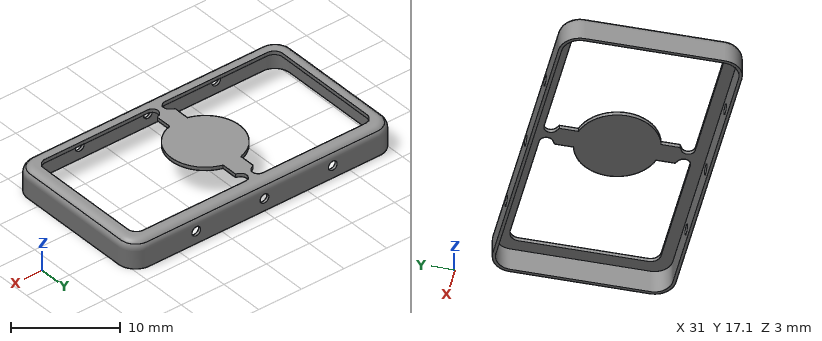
import cadquery as cq
import math

length = 31.0
width = 17.1
height = 3.0
outer_corner_radius = 2.0
top_edge_radius = 1.0

wall = 0.3
lip_width = 1.5
lip_thickness = 0.4
lip_corner_radius = 1.0
cavity_corner_radius = outer_corner_radius - wall

hole_diameter = 1.0
hole_pitch = 8.0
hole_height = 1.4

disc_diameter = 8.0
tab_width = 2.1
neck_width = 0.7
notch_radius = 0.65
taper_angle = 30.0

opening_length = length - 2 * lip_width
opening_width = width - 2 * lip_width
lip_bottom = height - lip_thickness


def rounded_block(size_x, size_y, size_z, corner_radius):
    """Block standing on Z = 0, centred in X and Y, with rounded vertical edges."""
    block = cq.Workplane("XY").box(size_x, size_y, size_z, centered=(True, True, False))
    return block.edges("|Z").fillet(corner_radius)


def make_frame():
    """Thin-walled ring with a rounded top outer edge and an inward lip at the top."""
    body = rounded_block(length, width, height, outer_corner_radius)
    body = body.faces(">Z").edges().fillet(top_edge_radius)
    cavity = rounded_block(length - 2 * wall, width - 2 * wall, lip_bottom, cavity_corner_radius)
    opening = rounded_block(opening_length, opening_width, height, lip_corner_radius)
    return body.cut(cavity).cut(opening)


def make_cross_holes():
    """Row of round holes along Y, passing through both long walls."""
    positions = [(i * hole_pitch, hole_height) for i in (-1, 0, 1)]
    holes = cq.Workplane("XZ").pushPoints(positions).circle(hole_diameter / 2)
    return holes.extrude(width, both=True)


def make_notched_tab():
    """Tab on the +Y side of the disc, narrowed to a neck where it meets the lip.

    Each side runs straight from the disc, tapers inward, and ends in a round
    notch that is tangent to both the taper and the inner edge of the lip.
    """
    lip_y = opening_width / 2
    notch_x = neck_width / 2 + notch_radius
    notch_y = lip_y - notch_radius
    taper = math.radians(taper_angle)
    tangent_x = notch_x - notch_radius * math.sin(taper)
    tangent_y = notch_y - notch_radius * math.cos(taper)
    shoulder_x = tab_width / 2
    shoulder_y = tangent_y - (shoulder_x - tangent_x) * math.tan(taper)
    neck_x = neck_width / 2

    outline = (
        cq.Workplane("XY", origin=(0, 0, lip_bottom))
        .moveTo(-shoulder_x, 0)
        .lineTo(shoulder_x, 0)
        .lineTo(shoulder_x, shoulder_y)
        .lineTo(tangent_x, tangent_y)
        .threePointArc((neck_x, notch_y), (notch_x, lip_y))
        .lineTo(-notch_x, lip_y)
        .threePointArc((-neck_x, notch_y), (-tangent_x, tangent_y))
        .lineTo(-shoulder_x, shoulder_y)
        .close()
    )
    return outline.extrude(lip_thickness)


def make_hanging_disc():
    """Disc carried by two opposite tabs."""
    disc = cq.Workplane("XY", origin=(0, 0, lip_bottom)).circle(disc_diameter / 2).extrude(lip_thickness)
    tab = make_notched_tab()
    return disc.union(tab).union(tab.mirror("XZ"))


result = make_frame().cut(make_cross_holes()).union(make_hanging_disc())